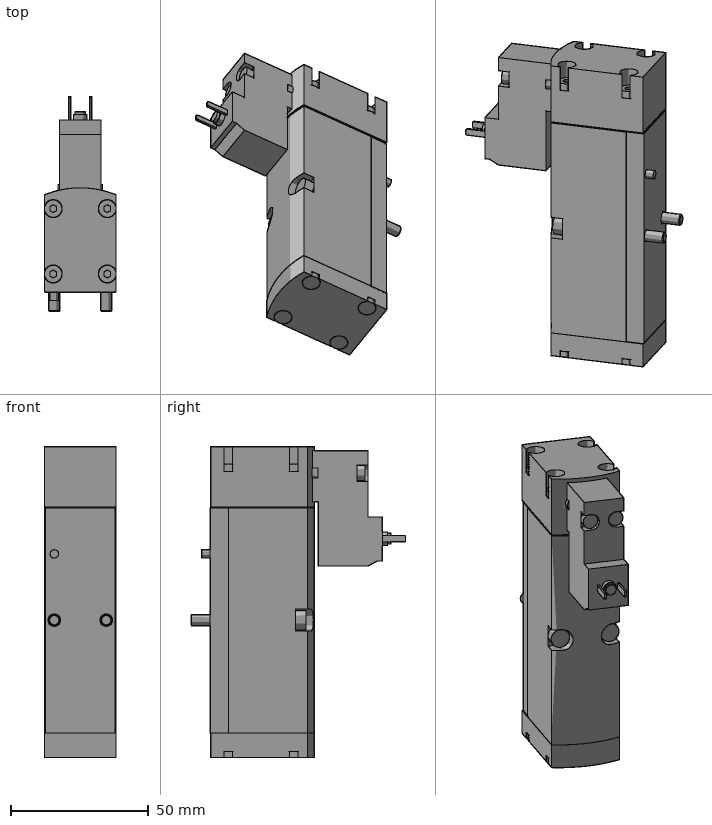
import cadquery as cq
import math

BODY_WIDTH = 26.0
HALF_WIDTH = BODY_WIDTH / 2
BODY_HEIGHT = 113.1
CAP_FRONT = 0.17
CREST_Y = 38.0
SHOULDER_Y = 35.5
LOWER_CAP_TOP = 8.9
UPPER_CAP_BASE = 91.2

COVER_INSET = 0.06
PLATE_DEPTH = 6.7
PLATE_INSET = 0.5
SEAM_HEIGHT = 0.3
SEAM_INSET = 0.3

CAP_SCREW_X = 9.8
CAP_SCREW_YS = (6.7, 30.4)
CAP_BORE_DIA = 6.6
CAP_HEAD_DIA = 6.3
CAP_SLOT_WIDTH = 3.0
TOP_BORE_DEPTH = 9.0
TOP_HEAD_HEIGHT = 2.7
FOOT_BORE_DEPTH = 2.3
SOCKET_FLATS = 2.5
SOCKET_DEPTH = 1.7

MOUNT_Z = 50.0
MOUNT_SLOT_WIDTH = 8.0
MOUNT_SLOT_FLOOR = 31.1
MOUNT_HEAD_DIA = 7.0
MOUNT_X = HALF_WIDTH - COVER_INSET - MOUNT_HEAD_DIA / 2
MOUNT_HEAD_HEIGHT = 3.7
MOUNT_HOLE_DIA = 4.5
MOUNT_HOLE_DEPTH = 1.1
MOUNT_PIN_DIA = 4.1
MOUNT_PIN_LENGTH = 7.0
MOUNT_PIN_CHAMFER = 0.3

LOCATOR_Z = 74.1
LOCATOR_DIA = 3.0
LOCATOR_LENGTH = 3.0

COIL_WIDTH = 15.2
COIL_TOP = 111.6
COIL_FOOT = 69.7
COIL_FRONT = 39.2
COIL_BACK = 57.5
COIL_NECK_BASE = 93.0
COIL_NECK_OVERLAP = 1.1
CONNECTOR_BACK = 62.7
CONNECTOR_TOP = 87.5
CONNECTOR_FOOT = 71.5
CONNECTOR_LIP = 1.8

COIL_SCREW_Z = 103.5
COIL_SLOT_WIDTH = 6.0
COIL_SLOT_DEPTH = 4.1
COIL_HEAD_DIA = 5.5
COIL_HEAD_HEIGHT = 2.9
COIL_SCREW_X = (COIL_WIDTH - COIL_HEAD_DIA) / 2
COIL_BOSS_DIA = 6.0
COIL_BOSS_PROUD = 0.6
COIL_BOSS_X = COIL_WIDTH / 2 + COIL_BOSS_PROUD - COIL_BOSS_DIA / 2

CONTACT_Z = 79.6
BLADE_X = 3.8
BLADE_THICKNESS = 0.8
BLADE_HEIGHT = 2.4
BLADE_LENGTH = 8.5
BLADE_CHAMFER = 0.3
NUB_DIA = 5.0
NUB_LENGTH = 1.9
NUB_TIP_DIA = 4.0
NUB_TIP_LENGTH = 1.1

SIDES = (-1, 1)


def box(x_range, y_range, z_range):
    """Box spanning the given (low, high) pairs."""
    spans = (x_range, y_range, z_range)
    size = [high - low for low, high in spans]
    low_corner = tuple(low for low, high in spans)
    return cq.Workplane("XY").box(*size, centered=False).translate(low_corner)


def cylinder_y(x, z, diameter, y_start, y_end):
    """Cylinder along Y."""
    plane = cq.Workplane("XZ", origin=(x, y_start, z))
    return plane.circle(diameter / 2).extrude(y_start - y_end)


def cylinder_z(x, y, diameter, z_start, z_end):
    """Cylinder along Z."""
    plane = cq.Workplane("XY", origin=(x, y, z_start))
    return plane.circle(diameter / 2).extrude(z_end - z_start)


def side_slot(side, x, z, width, y_start, y_end, outer_x):
    """Slot along Y, round on the inside and open through the side at outer_x."""
    slot = cylinder_y(side * x, z, width, y_start, y_end)
    x_range = sorted((side * x, side * outer_x))
    return slot.union(box(x_range, (y_start, y_end), (z - width / 2, z + width / 2)))


def column(inset, front, base, top):
    """Curved-back column between two heights, its sides and back moved in by inset."""
    half = HALF_WIDTH - inset
    shoulder = SHOULDER_Y - inset
    return (
        cq.Workplane("XY", origin=(0, 0, base))
        .moveTo(-half, front)
        .lineTo(half, front)
        .lineTo(half, shoulder)
        .threePointArc((0, CREST_Y - inset), (-half, shoulder))
        .close()
        .extrude(top - base)
    )


def make_body():
    """Stack of lower cap, cover with front plate, seam and upper cap."""
    cover_top = UPPER_CAP_BASE - SEAM_HEIGHT
    plate_half = HALF_WIDTH - PLATE_INSET
    plate = box((-plate_half, plate_half), (0, PLATE_DEPTH), (LOWER_CAP_TOP, cover_top))
    return (
        column(0, CAP_FRONT, 0, LOWER_CAP_TOP)
        .union(column(COVER_INSET, PLATE_DEPTH, LOWER_CAP_TOP, cover_top))
        .union(plate)
        .union(column(SEAM_INSET, CAP_FRONT + SEAM_INSET, cover_top, UPPER_CAP_BASE))
        .union(column(0, CAP_FRONT, UPPER_CAP_BASE, BODY_HEIGHT))
    )


def cap_bore(side, y, z_start, z_end):
    """Screw bore along Z with a slot out through the nearer side."""
    x = side * CAP_SCREW_X
    slot_x = sorted((x, side * HALF_WIDTH))
    slot_y = (y - CAP_SLOT_WIDTH / 2, y + CAP_SLOT_WIDTH / 2)
    return cylinder_z(x, y, CAP_BORE_DIA, z_start, z_end).union(box(slot_x, slot_y, (z_start, z_end)))


def add_cap_screws(body):
    """Sunk cap screws with hexagon sockets at the top, flush screw heads at the foot."""
    top_floor = BODY_HEIGHT - TOP_BORE_DEPTH
    head_top = top_floor + TOP_HEAD_HEIGHT
    socket_corners = SOCKET_FLATS / math.cos(math.pi / 6)
    for side in SIDES:
        for y in CAP_SCREW_YS:
            x = side * CAP_SCREW_X
            body = body.cut(cap_bore(side, y, top_floor, BODY_HEIGHT))
            body = body.cut(cap_bore(side, y, 0, FOOT_BORE_DEPTH))
            body = body.union(cylinder_z(x, y, CAP_HEAD_DIA, top_floor, head_top))
            body = body.union(cylinder_z(x, y, CAP_HEAD_DIA, 0, FOOT_BORE_DEPTH))
            socket = (
                cq.Workplane("XY")
                .polygon(6, socket_corners)
                .extrude(-SOCKET_DEPTH)
                .rotate((0, 0, 0), (0, 0, 1), 90)
                .translate((x, y, head_top))
            )
            body = body.cut(socket)
    return body


def add_mounting_screws(body):
    """Screw heads in slots on the back corners, with their tips out of the front."""
    head_top = MOUNT_SLOT_FLOOR + MOUNT_HEAD_HEIGHT
    for side in SIDES:
        x = side * MOUNT_X
        slot = side_slot(side, MOUNT_X, MOUNT_Z, MOUNT_SLOT_WIDTH, MOUNT_SLOT_FLOOR, CREST_Y, HALF_WIDTH)
        body = body.cut(slot)
        body = body.union(cylinder_y(x, MOUNT_Z, MOUNT_HEAD_DIA, MOUNT_SLOT_FLOOR, head_top))
        body = body.cut(cylinder_y(x, MOUNT_Z, MOUNT_HOLE_DIA, 0, MOUNT_HOLE_DEPTH))
        pin = cylinder_y(x, MOUNT_Z, MOUNT_PIN_DIA, PLATE_DEPTH, -MOUNT_PIN_LENGTH)
        body = body.union(pin.faces("<Y").chamfer(MOUNT_PIN_CHAMFER))
    return body.union(cylinder_y(-MOUNT_X, LOCATOR_Z, LOCATOR_DIA, PLATE_DEPTH, -LOCATOR_LENGTH))


def make_coil():
    """Coil block with its connector step, reaching into the body at the neck."""
    neck_front = SHOULDER_Y - COIL_NECK_OVERLAP
    outline = [
        (neck_front, COIL_TOP),
        (COIL_BACK, COIL_TOP),
        (COIL_BACK, CONNECTOR_TOP),
        (CONNECTOR_BACK, CONNECTOR_TOP),
        (CONNECTOR_BACK, CONNECTOR_FOOT),
        (CONNECTOR_BACK - CONNECTOR_LIP, CONNECTOR_FOOT),
        (COIL_BACK, COIL_FOOT),
        (COIL_FRONT, COIL_FOOT),
        (COIL_FRONT, COIL_NECK_BASE),
        (neck_front, COIL_NECK_BASE),
    ]
    coil = cq.Workplane("YZ").polyline(outline).close().extrude(COIL_WIDTH / 2, both=True)
    slot_floor = COIL_BACK - COIL_SLOT_DEPTH
    head_top = slot_floor + COIL_HEAD_HEIGHT
    for side in SIDES:
        x = side * COIL_SCREW_X
        slot = side_slot(
            side, COIL_SCREW_X, COIL_SCREW_Z, COIL_SLOT_WIDTH, slot_floor, COIL_BACK, COIL_WIDTH / 2
        )
        coil = coil.cut(slot)
        coil = coil.union(cylinder_y(x, COIL_SCREW_Z, COIL_HEAD_DIA, slot_floor, head_top))
        boss = cylinder_y(side * COIL_BOSS_X, COIL_SCREW_Z, COIL_BOSS_DIA, neck_front, COIL_FRONT)
        coil = coil.union(boss)
    return coil


def make_connector():
    """Two contact blades either side of a stepped nub."""
    nub_end = CONNECTOR_BACK + NUB_LENGTH
    connector = cylinder_y(0, CONTACT_Z, NUB_DIA, COIL_BACK, nub_end)
    connector = connector.union(cylinder_y(0, CONTACT_Z, NUB_TIP_DIA, COIL_BACK, nub_end + NUB_TIP_LENGTH))
    for side in SIDES:
        x = side * BLADE_X
        blade = box(
            (x - BLADE_THICKNESS / 2, x + BLADE_THICKNESS / 2),
            (COIL_BACK, CONNECTOR_BACK + BLADE_LENGTH),
            (CONTACT_Z - BLADE_HEIGHT / 2, CONTACT_Z + BLADE_HEIGHT / 2),
        )
        connector = connector.union(blade.faces(">Y").edges("|X").chamfer(BLADE_CHAMFER))
    return connector


body = add_mounting_screws(add_cap_screws(make_body()))
result = body.union(make_coil()).union(make_connector())